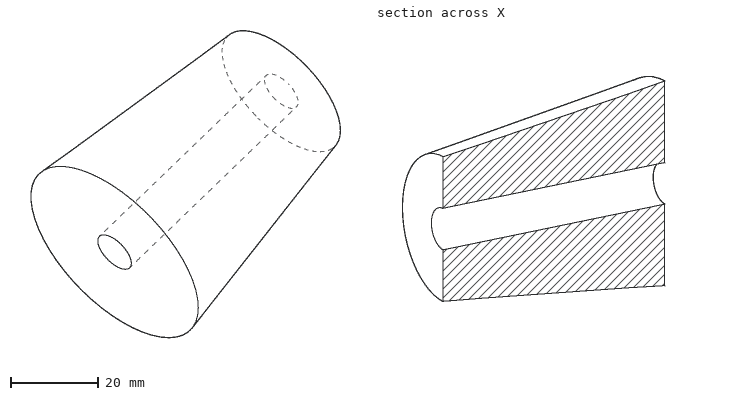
import cadquery as cq

length = 60.0
large_diameter = 50.0
small_diameter = 35.35
bore_diameter = 10.0

half_section = (
    cq.Workplane("XY")
    .moveTo(bore_diameter / 2, 0)
    .lineTo(large_diameter / 2, 0)
    .lineTo(small_diameter / 2, length)
    .lineTo(bore_diameter / 2, length)
    .close()
)

result = half_section.revolve(360, (0, 0, 0), (0, 1, 0))